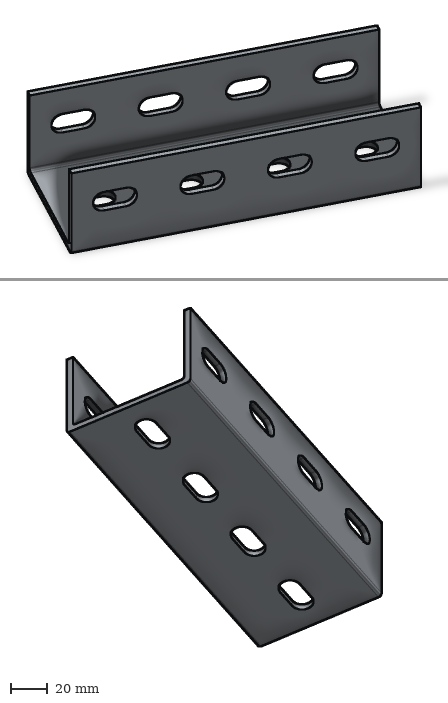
import cadquery as cq

width = 79.0
length = 200.0
height = 55.0
wall = 4.0
inner_bend_radius = 2.0
outer_bend_radius = 2.0

slot_length = 25.0
slot_width = 12.5
slot_pitch = 50.0
slot_count = 4
wall_slot_height = 32.0


def make_channel():
    """U-shaped channel running along Y, open at the top, underside at Z = 0."""
    outer = (
        cq.Workplane("XY")
        .box(width, length, height, centered=(True, True, False))
        .edges("|Y and <Z")
        .fillet(outer_bend_radius)
    )
    cavity = (
        cq.Workplane("XY")
        .workplane(offset=wall)
        .box(width - 2 * wall, length, height, centered=(True, True, False))
        .edges("|Y and <Z")
        .fillet(inner_bend_radius)
    )
    return outer.cut(cavity)


def slot_positions():
    """Y coordinates of the slot centres, evenly spaced about mid-length."""
    first = -slot_pitch * (slot_count - 1) / 2
    return [first + i * slot_pitch for i in range(slot_count)]


def floor_slots():
    """Cutters for the slots through the floor, elongated along Y."""
    return (
        cq.Workplane("XY")
        .pushPoints([(0, y) for y in slot_positions()])
        .slot2D(slot_length, slot_width, 90)
        .extrude(wall)
    )


def wall_slots():
    """Cutters for the slots through both side walls, elongated along Y."""
    return (
        cq.Workplane("YZ")
        .pushPoints([(y, wall_slot_height) for y in slot_positions()])
        .slot2D(slot_length, slot_width)
        .extrude(width / 2, both=True)
    )


result = make_channel().cut(floor_slots()).cut(wall_slots())